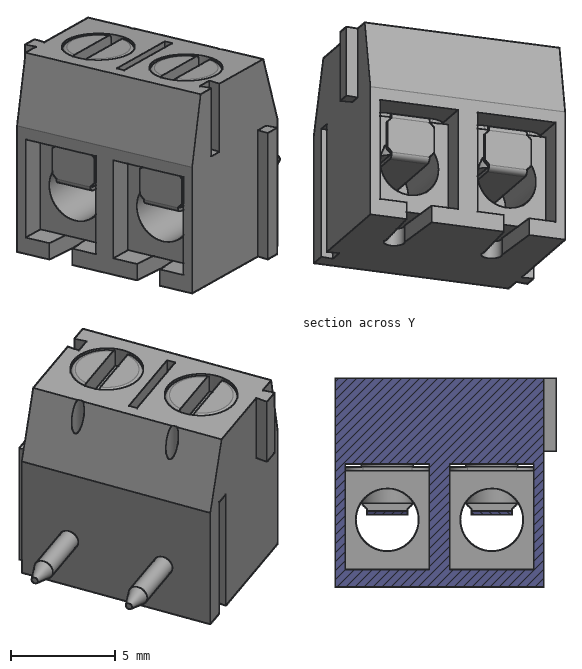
import cadquery as cq
import math


width = 10.0
depth = 7.5
height = 10.0
shoulder_z = 6.5
front_inset = 0.75
back_inset = 1.25
pole_pitch = width / 2
pole_xs = [-pole_pitch / 2, pole_pitch / 2]

key_length = 0.6
groove_depth = 0.62
key_root_width = 0.71
key_tip_width = 0.85
upper_key_y = 2.05
lower_key_y = 6.14

chamber_width = 4.0
chamber_floor = 0.85
chamber_top = 5.89
chamber_depth = 5.7
notch_floor = 3.25
slot_mouth_width = 1.29
slot_end_width = 0.93
floor_hole_diameter = 1.0

slit_width = 0.43
slit_front = 1.39
slit_back = 5.63
slit_depth = 1.0
test_hole_diameter = 0.6
test_hole_y = 6.51

screw_y = 3.3
head_diameter = 3.5
head_height = 2.0
head_fillet = 0.23
driver_slot_width = 0.76
driver_slot_depth = 1.0
shank_diameter = 2.5
shank_bottom = 4.0

cage_front = 1.29
cage_length = 2 * (screw_y - cage_front)
cage_top = 5.56
wire_hole_diameter = 3.0
wire_hole_z = 3.22

sheet = 0.19
bend_radius = 0.27
strap_width = 1.94
guard_width = 2.38
guard_front = cage_front - sheet
terminal_top = cage_top + sheet
strap_bottom = 3.46
strap_top = strap_bottom + sheet
washer_width = chamber_width
washer_corner = 0.84
ramp_start = 5.9
ramp_angle = 65.0
ramp_slope = math.tan(math.radians(ramp_angle))
pin_start = 6.33
pin_diameter = 1.0
pin_tip_diameter = 0.34
pin_taper_length = 1.0
pin_end = 11.3
pin_z = 2.69


def slab(x_size, y_min, y_max, z_min, z_max, x_center=0.0):
    """Box given by its X size and centre and by its Y and Z limits."""
    box = cq.Workplane("XY").box(x_size, y_max - y_min, z_max - z_min, centered=(True, False, False))
    return box.translate((x_center, y_min, z_min))


def upright_cylinder(diameter, x, y, z_min, z_max):
    disc = cq.Workplane("XY", origin=(x, y, z_min)).circle(diameter / 2)
    return disc.extrude(z_max - z_min)


def dovetail(root_x, y, length, z_min, z_max):
    """Upright dovetail that widens from root_x towards +X (or -X for a negative length)."""
    tip_x = root_x + length
    outline = [
        (root_x, y - key_root_width / 2),
        (tip_x, y - key_tip_width / 2),
        (tip_x, y + key_tip_width / 2),
        (root_x, y + key_root_width / 2),
    ]
    return cq.Workplane("XY", origin=(0, 0, z_min)).polyline(outline).close().extrude(z_max - z_min)


def make_floor_slot(x):
    """Slot through the chamber floor, narrowing from the front to a round hole under the screw."""
    hole_radius = floor_hole_diameter / 2
    slot_end = screw_y - math.sqrt(hole_radius**2 - (slot_end_width / 2) ** 2)
    outline = [
        (x - slot_mouth_width / 2, 0),
        (x + slot_mouth_width / 2, 0),
        (x + slot_end_width / 2, slot_end),
        (x - slot_end_width / 2, slot_end),
    ]
    slot = cq.Workplane("XY").polyline(outline).close().extrude(chamber_floor)
    return slot.union(upright_cylinder(floor_hole_diameter, x, screw_y, 0, chamber_floor))


def make_terminal(x):
    """Solder pin, strap through the cage, guard plate and washer plate, bent from one strip."""
    top_ramp_start = ramp_start + sheet * math.tan(math.radians(ramp_angle / 2))
    bend_end_y = guard_front + bend_radius
    lower_bend_z = strap_bottom + bend_radius
    upper_bend_z = terminal_top - bend_radius

    strip = (
        cq.Workplane("YZ", origin=(-strap_width / 2, 0, 0))
        .moveTo(pin_start, strap_bottom - (pin_start - ramp_start) * ramp_slope)
        .lineTo(ramp_start, strap_bottom)
        .lineTo(bend_end_y, strap_bottom)
        .radiusArc((guard_front, lower_bend_z), bend_radius)
        .lineTo(guard_front, upper_bend_z)
        .radiusArc((bend_end_y, terminal_top), bend_radius)
        .lineTo(screw_y, terminal_top)
        .lineTo(screw_y, cage_top)
        .lineTo(cage_front, cage_top)
        .lineTo(cage_front, strap_top)
        .lineTo(top_ramp_start, strap_top)
        .lineTo(pin_start, strap_top - (pin_start - top_ramp_start) * ramp_slope)
        .close()
        .extrude(strap_width)
    )
    guard = slab(guard_width, guard_front, cage_front, lower_bend_z, upper_bend_z)
    guard = guard.edges("|Y").chamfer((guard_width - strap_width) / 2)

    washer = slab(washer_width, cage_front, cage_front + cage_length, cage_top, terminal_top)
    washer = washer.edges("|Z").fillet(washer_corner)

    taper_start = pin_end - pin_taper_length
    pin = (
        cq.Workplane("XY")
        .moveTo(0, pin_start)
        .lineTo(pin_diameter / 2, pin_start)
        .lineTo(pin_diameter / 2, taper_start)
        .lineTo(pin_tip_diameter / 2, pin_end)
        .lineTo(0, pin_end)
        .close()
        .revolve(360, (0, 0, 0), (0, 1, 0))
        .translate((0, 0, pin_z))
    )
    terminal = strip.union(guard).union(washer).union(pin)
    terminal = terminal.cut(upright_cylinder(shank_diameter, 0, screw_y, cage_top, terminal_top))
    return terminal.translate((x, 0, 0))


def make_cage(x):
    """Clamp block with a wire hole from front to back and a screw hole down into it."""
    cage_back = cage_front + cage_length
    cage = slab(chamber_width, cage_front, cage_back, chamber_floor, cage_top, x)
    wire_hole = (
        cq.Workplane("XZ", origin=(x, cage_front, wire_hole_z))
        .circle(wire_hole_diameter / 2)
        .extrude(-cage_length)
    )
    screw_hole = upright_cylinder(shank_diameter, x, screw_y, wire_hole_z, cage_top)
    return cage.cut(wire_hole).cut(screw_hole)


def make_screw(x):
    """Slotted screw whose rounded head is level with the top of the housing."""
    head = upright_cylinder(head_diameter, x, screw_y, height - head_height, height)
    head = head.faces(">Z").edges().fillet(head_fillet)
    driver_slot = slab(
        driver_slot_width,
        screw_y - head_diameter / 2,
        screw_y + head_diameter / 2,
        height - driver_slot_depth,
        height,
        x,
    )
    shank = upright_cylinder(shank_diameter, x, screw_y, shank_bottom, height - head_height)
    return head.cut(driver_slot).union(shank)


def make_housing(terminals):
    outline = [
        (0, 0),
        (depth, 0),
        (depth, shoulder_z),
        (depth - back_inset, height),
        (front_inset, height),
        (0, shoulder_z),
    ]
    housing = cq.Workplane("YZ", origin=(-width / 2, 0, 0)).polyline(outline).close().extrude(width)

    housing = housing.union(dovetail(-width / 2, upper_key_y, -key_length, shoulder_z, height))
    housing = housing.union(dovetail(width / 2, lower_key_y, key_length, 0, shoulder_z))
    housing = housing.cut(dovetail(width / 2, upper_key_y, -groove_depth, shoulder_z, height))
    housing = housing.cut(dovetail(-width / 2, lower_key_y, groove_depth, 0, shoulder_z))

    housing = housing.cut(slab(slit_width, slit_front, slit_back, height - slit_depth, height))

    notch_back = ramp_start + (strap_bottom - notch_floor) / ramp_slope
    for x, terminal in zip(pole_xs, terminals):
        housing = housing.cut(slab(chamber_width, 0, chamber_depth, chamber_floor, chamber_top, x))
        housing = housing.cut(make_floor_slot(x))
        housing = housing.cut(slab(strap_width, chamber_depth, notch_back, notch_floor, strap_top, x))
        housing = housing.cut(upright_cylinder(head_diameter, x, screw_y, height - head_height, height))
        housing = housing.cut(upright_cylinder(shank_diameter, x, screw_y, chamber_top, height))
        housing = housing.cut(upright_cylinder(test_hole_diameter, x, test_hole_y, pin_z, height))
        housing = housing.cut(terminal)
    return housing


terminals = [make_terminal(x) for x in pole_xs]
cages = [make_cage(x) for x in pole_xs]
screws = [make_screw(x) for x in pole_xs]
housing = make_housing(terminals)

bodies = [housing, *terminals, *cages, *screws]
result = cq.Compound.makeCompound([body.solids().val() for body in bodies])